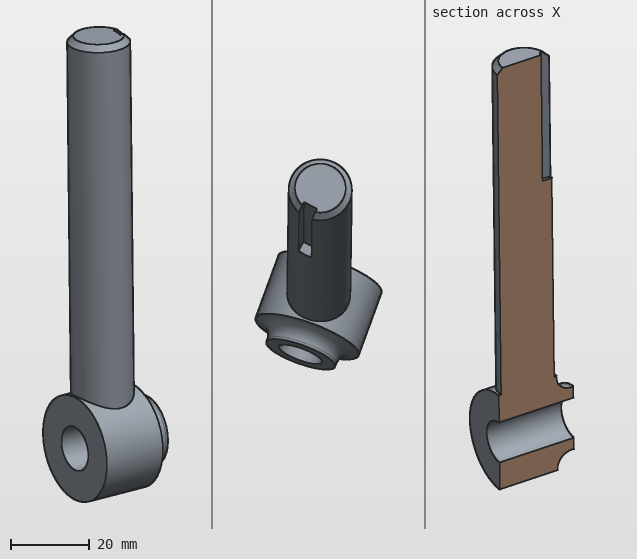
import cadquery as cq

eye_diameter = 28.0
eye_width = 17.5
boss_diameter = 18.6
boss_height = 5.0
boss_fillet = 4.2
bore_diameter = 11.7

upright_height = 124.1
rod_diameter = 16.1
rod_chamfer = 1.6

keyway_width = 3.7
keyway_length = 37.3
keyway_floor_offset = 5.2
keyway_turn = -9.0

lean_angle = 0.7

rod_length = upright_height - eye_diameter / 2


def y_cylinder(diameter, start, end):
    """Cylinder about the Y axis between two Y positions."""
    return cq.Workplane("XZ", origin=(0, start, 0)).circle(diameter / 2).extrude(start - end)


def make_eye():
    front, back = -eye_width / 2, eye_width / 2
    body = y_cylinder(eye_diameter, front, back)
    boss = y_cylinder(boss_diameter, back, back + boss_height)
    root_edge = cq.selectors.RadiusNthSelector(0)
    return body.union(boss).faces(">Y[-2]").edges(root_edge).fillet(boss_fillet)


def make_rod():
    rod = cq.Workplane("XY").circle(rod_diameter / 2).extrude(rod_length)
    return rod.faces(">Z").chamfer(rod_chamfer)


def make_keyway():
    cutter = cq.Workplane("XY", origin=(0, keyway_floor_offset, rod_length - keyway_length)).box(
        keyway_width, rod_diameter, keyway_length, centered=(True, False, False)
    )
    return cutter.rotate((0, 0, 0), (0, 0, 1), keyway_turn)


def make_bore():
    return y_cylinder(bore_diameter, -eye_width, eye_width)


upright_part = make_eye().union(make_rod()).cut(make_keyway()).cut(make_bore())
result = upright_part.rotate((0, 0, 0), (1, 0, 0), lean_angle)